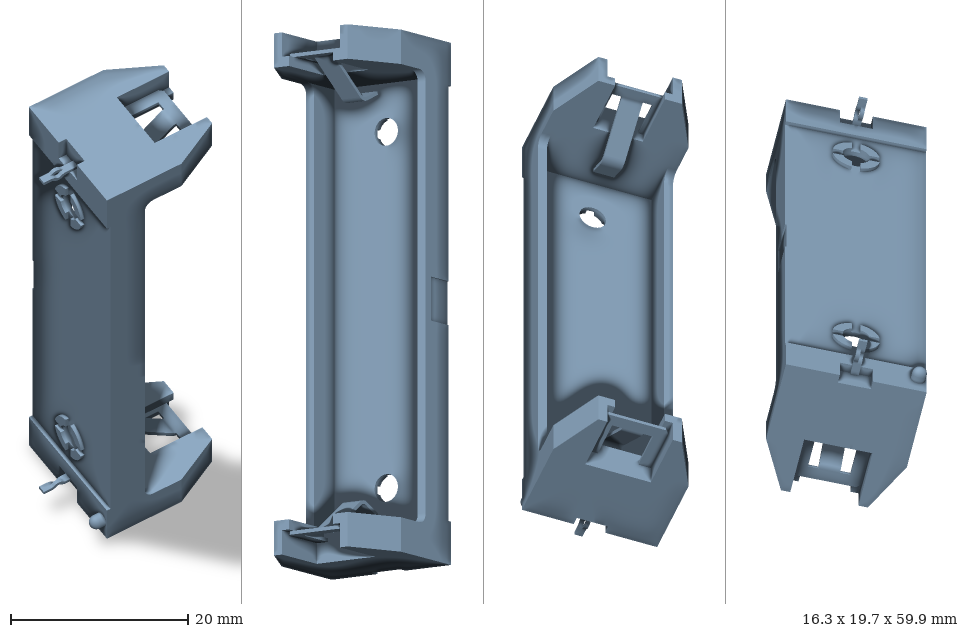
import math

import cadquery as cq


length = 59.9
half_length = length / 2
width = 16.3
arm_reach = 16.1
arm_thickness = 3.95
back_front_y = 5.1
back_rear_y = 0.5
foot_height = 5.0
corner_radius = 1.2
taper_start_y = 10.0
tip_half_width = 5.05

sheet = 0.4
sheet_middle_z = half_length - 2.6
sheet_top_z = sheet_middle_z + sheet / 2
sheet_bottom_z = sheet_middle_z - sheet / 2
plate_width = 7.9
plate_front_y = 15.15
plate_rear_y = 1.0
plate_corner = 0.5
window_width = 4.9
window_front_y = 13.7
tongue_width = 2.5
tongue_bend_radius = 0.7
tongue_slope = 36.0
tongue_slope_length = 6.6
tongue_curl_radius = 1.2
tongue_end_slope = 24.0
tongue_end_length = 2.4

pin_tip_y = -3.55
pin_half_width = 0.5
eye_start_y = -0.55
eye_length = 2.0
eye_rise = 0.35

pocket_rear_y = 9.1
opening_width = 6.0
foot_recess_width = 3.85
side_recess_height = 5.05
side_recess_front_y = 4.0
side_recess_depth = 0.2

trough_floor_y = 1.0
trough_width = 14.15

hole_z = 20.4
hole_diameter = 3.2
pad_diameter = 5.5
pad_slot = 1.0

peg_x = 7.1
peg_z = -27.5
peg_radius = 0.85
peg_straight = 0.8


def block(x_size, y_range, z_range):
    """A box centred on X = 0 that spans the given Y and Z ranges."""
    y_min, y_max = y_range
    z_min, z_max = z_range
    box = cq.Workplane("XY").box(x_size, y_max - y_min, z_max - z_min, centered=(True, False, False))
    return box.translate((0, y_min, z_min))


def with_mirror(shape):
    """The shape at the +Z end joined with its mirror image at the -Z end."""
    return shape.union(shape.mirror("XY"))


def strip_side(start, pieces, offset):
    """Points along one side of a strip, grouped by piece, at an offset from its middle line.

    A straight piece gives its end point. A bend gives its middle point and its end point.
    """
    y, z = start
    heading = 0.0
    side = [[(y, z + offset)]]
    for size, turn in pieces:
        steps = 2 if turn else 1
        step_turn = math.radians(turn) / steps
        advance = 2 * size * math.sin(abs(step_turn) / 2) if turn else size
        points = []
        for _ in range(steps):
            y -= advance * math.cos(heading + step_turn / 2)
            z += advance * math.sin(heading + step_turn / 2)
            heading += step_turn
            points.append((y + offset * math.sin(heading), z + offset * math.cos(heading)))
        side.append(points)
    return side


def draw_piece(outline, points):
    """Continue an outline by a line to one point or by an arc through two."""
    if len(points) == 1:
        return outline.lineTo(*points[0])
    return outline.threePointArc(*points)


def bent_strip(start, pieces, x_min, x_max):
    """A strip of sheet that starts toward -Y and follows straight and curved pieces.

    Each piece is (length, 0) for a straight run or (radius, turn) for a bend, whose turn in
    degrees is positive toward +Z.
    """
    upper = strip_side(start, pieces, sheet / 2)
    lower = strip_side(start, pieces, -sheet / 2)
    outline = cq.Workplane("YZ").moveTo(*upper[0][0])
    for points in upper[1:]:
        outline = draw_piece(outline, points)
    outline = outline.lineTo(*lower[-1][-1])
    for index in range(len(pieces), 0, -1):
        middle_points = lower[index][:-1]
        piece_start = lower[index - 1][-1]
        outline = draw_piece(outline, middle_points + [piece_start])
    return outline.close().extrude(x_max - x_min).translate((x_min, 0, 0))


def housing_shell():
    """The C-shaped body with rounded inner corners and tapered arm tips."""
    shell = block(width, (0, arm_reach), (-half_length, half_length))
    inner_half = half_length - arm_thickness
    bay = block(width, (back_front_y, arm_reach), (-inner_half, inner_half))
    bay = bay.edges("|X and <Y").fillet(corner_radius)
    foot_edge = half_length - foot_height
    relief = block(width, (0, back_rear_y), (-foot_edge, foot_edge))
    taper = (
        cq.Workplane("XY")
        .workplane(offset=-half_length)
        .moveTo(width / 2, taper_start_y)
        .lineTo(width / 2, arm_reach)
        .lineTo(tip_half_width, arm_reach)
        .close()
        .extrude(length)
    )
    return shell.cut(bay).cut(relief).cut(taper).cut(taper.mirror("YZ"))


def cell_trough():
    """The open trough for the cell, which also clears the rounded corners between its walls."""
    inner_half = half_length - arm_thickness
    trough_front_y = back_front_y + corner_radius
    return block(trough_width, (trough_floor_y, trough_front_y), (-inner_half, inner_half))


def contact_seat():
    """The pocket, sheet slot, tongue opening and foot recess at the +Z end."""
    pocket = block(plate_width, (pocket_rear_y, arm_reach), (sheet_bottom_z, half_length))
    slot = block(plate_width, (plate_rear_y, pocket_rear_y), (sheet_bottom_z, sheet_top_z))
    opening = block(
        opening_width, (pocket_rear_y, arm_reach), (half_length - arm_thickness, sheet_bottom_z)
    )
    recess = block(foot_recess_width, (0, plate_rear_y), (sheet_bottom_z, half_length))
    return pocket.union(slot).union(opening).union(recess)


def mounting_pads():
    """A raised ring around each hole, cut into four pads by a cross of slots."""
    z_centre = (0, 0, hole_z)
    ring = cq.Workplane("XZ").circle(pad_diameter / 2).extrude(-back_rear_y).translate(z_centre)
    upright = block(pad_slot, (0, back_rear_y), (-pad_diameter / 2, pad_diameter / 2))
    level = block(pad_diameter, (0, back_rear_y), (-pad_slot / 2, pad_slot / 2))
    return with_mirror(ring.cut(upright.union(level).translate(z_centre)))


def mounting_holes():
    hole = cq.Workplane("XZ").circle(hole_diameter / 2).extrude(-back_front_y)
    return with_mirror(hole.translate((0, 0, hole_z)))


def side_recess():
    """A shallow rectangular recess in the middle of the -X side."""
    recess = block(
        2 * side_recess_depth,
        (back_rear_y, side_recess_front_y),
        (-side_recess_height / 2, side_recess_height / 2),
    )
    return recess.translate((-width / 2, 0, 0))


def locating_peg():
    """A round-ended peg on the foot at the -Z end."""
    peg = (
        cq.Workplane("YZ")
        .lineTo(0, peg_radius)
        .lineTo(-peg_straight, peg_radius)
        .radiusArc((-peg_straight - peg_radius, 0), -peg_radius)
        .close()
        .revolve(360, (0, 0, 0), (1, 0, 0))
    )
    return peg.translate((peg_x, 0, peg_z))


def make_housing():
    housing = housing_shell().cut(cell_trough()).union(mounting_pads()).union(locating_peg())
    return housing.cut(mounting_holes()).cut(side_recess()).cut(with_mirror(contact_seat()))


def contact_plate():
    """The flat plate with clipped front corners and a window for the tongue."""
    plate = block(plate_width, (plate_rear_y, plate_front_y), (sheet_bottom_z, sheet_top_z))
    plate = plate.edges("|Z and >Y").chamfer(plate_corner)
    window = block(window_width, (pocket_rear_y, window_front_y), (sheet_bottom_z, sheet_top_z))
    return plate.cut(window)


def contact_tongue():
    """The spring tongue, bent down from the front of the window and curled back into the trough."""
    pieces = [
        (tongue_bend_radius, -tongue_slope),
        (tongue_slope_length, 0),
        (tongue_curl_radius, tongue_slope + tongue_end_slope),
        (tongue_end_length, 0),
    ]
    start = (window_front_y, sheet_middle_z)
    return bent_strip(start, pieces, -tongue_width / 2, tongue_width / 2)


def pin_half(x_min, side):
    """Half of the terminal pin, bulging toward +Z for side = 1 and toward -Z for side = -1."""
    half_eye = eye_length / 2
    eye_turn = 2 * math.atan(eye_rise / half_eye)
    eye_radius = half_eye / (2 * math.sin(eye_turn))
    turn = side * math.degrees(eye_turn)
    pieces = [
        (plate_rear_y - eye_start_y, 0),
        (eye_radius, turn),
        (eye_radius, -2 * turn),
        (eye_radius, turn),
        (eye_start_y - eye_length - pin_tip_y, 0),
    ]
    return bent_strip((plate_rear_y, sheet_middle_z), pieces, x_min, x_min + pin_half_width)


def make_contact():
    """The contact at the +Z end: plate, tongue and the -X half of the pin in one piece."""
    return contact_plate().union(contact_tongue()).union(pin_half(-pin_half_width, 1))


def make_pin_insert():
    """The separate +X half of the pin at the +Z end."""
    return pin_half(0, -1)


housing = make_housing().solids().val()
upper_contact = make_contact().solids().val()
upper_pin_insert = make_pin_insert().solids().val()

bodies = [housing]
for body in (upper_contact, upper_pin_insert):
    bodies.append(body)
    bodies.append(body.mirror("XY"))

result = cq.Compound.makeCompound(bodies)